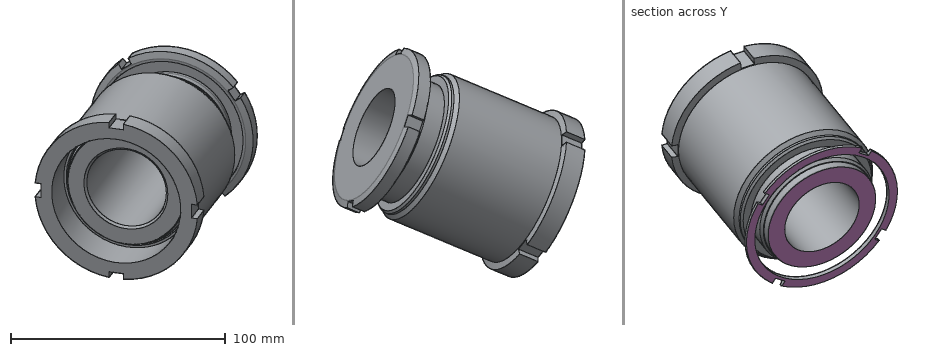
import cadquery as cq
total_length = 90.6
rim_radius = 39.91

rim_length = 10.0
rim_taper = 0.8
body_radius = 36.6
collar_radius = 34.8
body_chamfer_start = 65.9
collar_start = 67.8
collar_chamfer_start = 68.95
housing_end = 70.0
collar_chamfer = 1.0
bore_radius = 31.6
shoulder_depth = 18.1
lead_in = 0.6
rim_slot_width = 7.0

thread_radius = 29.8
relief_radius = 28.45
passage_radius = 19.5
passage_chamfer = 1.1
screw_start = 14.5
relief_length = 1.7
thread_taper_length = 1.7
thread_taper_drop = 1.0
head_length = 8.15
head_taper_length = 0.9
head_taper_width = 3.35
recess_radius = 35.2
recess_depth = 4.35
neck_taper_start = 84.4
neck_taper_drop = 0.3
head_slot_width = 5.9
head_slot_angle = 53.4

slot_depth = 3.0
slot_count = 4


def turn(profile):
    """Revolve a closed (radius, y) outline about the Y axis."""
    return cq.Workplane("XY").polyline(profile).close().revolve(360, (0, 0, 0), (0, 1, 0))


def cut_spanner_slots(body, y_start, y_end, width, first_angle):
    """Cut evenly spaced slots into the outer edge between two Y positions."""
    floor_radius = rim_radius - slot_depth
    radial_size = 2 * slot_depth
    for index in range(slot_count):
        slot = (
            cq.Workplane("XY")
            .box(radial_size, y_end - y_start, width)
            .translate((floor_radius + radial_size / 2, (y_start + y_end) / 2, 0))
            .rotate((0, 0, 0), (0, 1, 0), first_angle + index * 360 / slot_count)
        )
        body = body.cut(slot)
    return body


def make_housing():
    rim_end = rim_length + rim_taper
    housing = turn([
        (bore_radius, 0),
        (rim_radius, 0),
        (rim_radius, rim_length),
        (body_radius, rim_end),
        (body_radius, body_chamfer_start),
        (collar_radius, collar_start),
        (collar_radius, collar_chamfer_start),
        (collar_radius - collar_chamfer, housing_end),
        (thread_radius, housing_end),
        (thread_radius, shoulder_depth + lead_in),
        (thread_radius + lead_in, shoulder_depth),
        (bore_radius, shoulder_depth),
    ])
    return cut_spanner_slots(housing, 0, rim_end, rim_slot_width, 0)


def make_screw():
    head_start = total_length - head_length
    taper_radius = thread_radius - thread_taper_drop
    tip_end = screw_start + relief_length
    neck_start = head_start - relief_length
    screw = turn([
        (passage_radius + passage_chamfer, screw_start),
        (relief_radius, screw_start),
        (relief_radius, tip_end),
        (taper_radius, tip_end),
        (thread_radius, tip_end + thread_taper_length),
        (thread_radius, neck_start - thread_taper_length),
        (taper_radius, neck_start),
        (relief_radius, neck_start),
        (relief_radius, neck_taper_start),
        (relief_radius - neck_taper_drop, head_start + recess_depth),
        (recess_radius, head_start + recess_depth),
        (recess_radius, head_start),
        (rim_radius - head_taper_width, head_start),
        (rim_radius, head_start + head_taper_length),
        (rim_radius, total_length - head_taper_length),
        (rim_radius - head_taper_width, total_length),
        (passage_radius, total_length),
        (passage_radius, screw_start + passage_chamfer),
    ])
    return cut_spanner_slots(screw, head_start, total_length, head_slot_width, head_slot_angle)


housing = make_housing()
screw = make_screw()

result = cq.Compound.makeCompound([housing.val(), screw.val()])